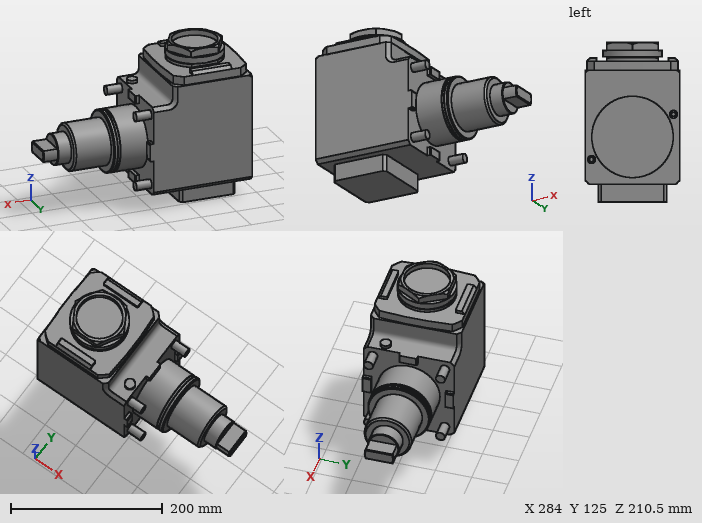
import cadquery as cq
import math


block_half_x = 56.0
block_half_y = 62.5
block_bottom = -62.5
block_top = 88.0
flange_top = 62.5
flange_face = 85.0
step_radius = 7.5
edge_chamfer = 5.5
corner_turn_radius = 80.7
corner_turn_width = 8.5

key_width = 25.0
key_length = 11.5
key_height = 5.5
key_chamfer = 1.5

collar_radius = 42.5
groove_radius = 41.2
groove_start = 123.8
groove_end = 127.5
collar_end = 133.2
collar_chamfer = 1.5
barrel_radius = 32.5
barrel_end = 185.5
barrel_chamfer = 2.5
journal_radius = 21.3
journal_end = 204.5
journal_chamfer = 0.9
tang_end = 225.2
tang_radius = 20.2
tang_thickness = 16.0
tang_chamfer = 1.0

pin_radius = 6.2
pin_offset = 49.5
pin_end = 106.5
plug_x = 74.7
plug_y = -35.0
plug_radius = 7.0
plug_height = 4.3

cover_radius = 53.7
cover_height = 2.8
screw_y = 54.0
screw_z = 29.8
screw_radius = 5.0
screw_recess = 0.3
socket_size = 6.2
socket_depth = 0.5

plate_top = 100.0
plate_half_y = 60.2
plate_half_x = 54.5
plate_side_x = 52.3
plate_flat_half_y = 14.8
plate_corner_radius = 72.5
pad_length = 55.7
pad_width = 13.0
pad_height = 4.3
pad_bevel_width = 4.5
pad_fillet = 1.7

foot_x = 79.8
foot_y = 90.3
foot_chamfer = 4.0
foot_bottom = -85.8

neck_radius = 39.0
neck_flats = 68.2
neck_top = 104.2
neck_groove_height = 1.0
neck_groove_radius = 31.2
nut_flange_radius = 39.2
nut_flange_height = 8.8
nut_top = 124.7
hex_flats = 68.2
hex_bevel_radius = 35.0
hex_bevel_angle = 30.0
nut_bore_radius = 30.7
nut_bore_depth = 7.7


def cylinder_x(radius, start, end, y=0, z=0):
    return cq.Workplane("YZ", origin=(start, y, z)).circle(radius).extrude(end - start)


def cylinder_z(radius, start, end, x=0, y=0):
    return cq.Workplane("XY", origin=(x, y, start)).circle(radius).extrude(end - start)


def box_on(z, size_x, size_y, height):
    return cq.Workplane("XY", origin=(0, 0, z)).rect(size_x, size_y).extrude(height)


def make_block():
    """Stepped block with bevelled step and bottom edges, and turned upper corners."""
    block = (
        cq.Workplane("XZ", origin=(0, block_half_y, 0))
        .moveTo(-block_half_x, block_bottom)
        .lineTo(flange_face, block_bottom)
        .lineTo(flange_face, flange_top)
        .lineTo(block_half_x + step_radius, flange_top)
        .radiusArc((block_half_x, flange_top + step_radius), step_radius)
        .lineTo(block_half_x, block_top)
        .lineTo(-block_half_x, block_top)
        .close()
        .extrude(2 * block_half_y)
    )
    block = block.faces("<Z").edges("|X").chamfer(edge_chamfer)

    step_middle = ((block_half_x + flange_face) / 2, 0, flange_top)
    step_edges = block.faces(cq.selectors.NearestToPointSelector(step_middle)).edges("|X")
    block = step_edges.chamfer(edge_chamfer)

    ring_outer = corner_turn_radius + corner_turn_width
    turned_ring = (
        cq.Workplane("XZ")
        .moveTo(corner_turn_radius, block_top)
        .lineTo(ring_outer, block_top)
        .lineTo(ring_outer, block_top - corner_turn_width)
        .close()
        .revolve(360, (0, 0, 0), (0, 1, 0))
    )
    return block.cut(turned_ring)


def make_key(turn):
    """Locating key at the middle of one side of the mounting face, turned about X."""
    key = (
        cq.Workplane("YZ", origin=(flange_face, 0, block_half_y - key_length / 2))
        .rect(key_width, key_length)
        .extrude(key_height)
    )
    key = key.faces(">X").edges("|Z").chamfer(key_chamfer)
    return key.rotate((0, 0, 0), (1, 0, 0), turn)


def make_shank():
    """Collar with ring groove, barrel and journal turned about X."""
    shank = cylinder_x(collar_radius, flange_face, groove_start)
    shank = shank.union(cylinder_x(groove_radius, groove_start, groove_end))
    rim = cylinder_x(collar_radius, groove_end, collar_end).faces(">X").chamfer(collar_chamfer)
    barrel = cylinder_x(barrel_radius, collar_end, barrel_end).faces(">X").chamfer(barrel_chamfer)
    journal = cylinder_x(journal_radius, barrel_end, journal_end).faces(">X").chamfer(journal_chamfer)
    return shank.union(rim).union(barrel).union(journal)


def make_tang():
    """Drive tang: a round end milled to two flats."""
    length = tang_end - journal_end
    round_end = cylinder_x(tang_radius, journal_end, tang_end)
    flats = (
        cq.Workplane("YZ", origin=(journal_end, 0, 0))
        .rect(2 * tang_radius, tang_thickness)
        .extrude(length)
    )
    return round_end.intersect(flats).faces(">X").chamfer(tang_chamfer)


def make_plate():
    """Top plate with slightly peaked sides and round corners."""
    side_y = math.sqrt(plate_corner_radius**2 - plate_side_x**2)
    end_x = math.sqrt(plate_corner_radius**2 - plate_half_y**2)
    return (
        cq.Workplane("XY", origin=(0, 0, block_top))
        .moveTo(-end_x, -plate_half_y)
        .lineTo(end_x, -plate_half_y)
        .radiusArc((plate_side_x, -side_y), -plate_corner_radius)
        .lineTo(plate_half_x, -plate_flat_half_y)
        .lineTo(plate_half_x, plate_flat_half_y)
        .lineTo(plate_side_x, side_y)
        .radiusArc((end_x, plate_half_y), -plate_corner_radius)
        .lineTo(-end_x, plate_half_y)
        .radiusArc((-plate_side_x, side_y), -plate_corner_radius)
        .lineTo(-plate_half_x, plate_flat_half_y)
        .lineTo(-plate_half_x, -plate_flat_half_y)
        .lineTo(-plate_side_x, -side_y)
        .radiusArc((-end_x, -plate_half_y), -plate_corner_radius)
        .close()
        .extrude(plate_top - block_top)
    )


def make_pad(side):
    """Pad along one long edge of the plate, bevelled outward; side is -1 or 1 along Y."""
    outer_y = side * plate_half_y
    inner_y = side * (plate_half_y - pad_width)
    bevel_y = side * (plate_half_y - pad_bevel_width)
    pad_top = plate_top + pad_height
    pad = (
        cq.Workplane("YZ", origin=(-pad_length / 2, 0, 0))
        .moveTo(outer_y, plate_top)
        .lineTo(bevel_y, pad_top)
        .lineTo(inner_y, pad_top)
        .lineTo(inner_y, plate_top)
        .close()
        .extrude(pad_length)
    )
    return pad.edges("|Z").fillet(pad_fillet)


def make_foot():
    """Rectangular foot under the block with bevelled corners."""
    foot = box_on(foot_bottom, foot_x, foot_y, block_bottom - foot_bottom)
    return foot.edges("|Z").chamfer(foot_chamfer)


def make_neck():
    """Round spindle neck seated in the plate, with two wrench flats above it."""
    seat = cylinder_z(neck_radius, block_top, plate_top)
    neck = cylinder_z(neck_radius, plate_top, neck_top)
    flats = box_on(plate_top, 2 * neck_radius, neck_flats, neck_top - plate_top)
    return seat.union(neck.intersect(flats))


def make_screw_recess(side):
    """Sunk screw head with a hexagon socket in the -X face."""
    head_face = -block_half_x + screw_recess
    y = side * screw_y
    z = -side * screw_z
    recess = cylinder_x(screw_radius, -block_half_x, head_face, y, z)
    socket = cq.Workplane("YZ", origin=(head_face, y, z)).polygon(6, socket_size).extrude(socket_depth)
    return recess.union(socket)


def make_housing():
    """Housing with all fixed details, bored for the spindle."""
    housing = make_block()
    for turn in (0, 90, 180, 270):
        housing = housing.union(make_key(turn))
    housing = housing.union(make_shank())
    housing = housing.union(make_tang())
    housing = housing.union(make_plate())
    housing = housing.union(make_foot())
    housing = housing.union(cylinder_x(cover_radius, -block_half_x - cover_height, -block_half_x))
    housing = housing.union(cylinder_z(plug_radius, flange_top, flange_top + plug_height, plug_x, plug_y))
    housing = housing.cut(cylinder_z(neck_radius, block_top, plate_top))
    for side in (-1, 1):
        housing = housing.union(make_pad(side))
        housing = housing.cut(make_screw_recess(side))
        for level in (-1, 1):
            pin = cylinder_x(pin_radius, flange_face, pin_end, side * pin_offset, level * pin_offset)
            housing = housing.union(pin)
    return housing


def make_spindle():
    """Spindle: neck, groove, and nut head with round flange, bevelled hexagon and blind bore."""
    flange_bottom = neck_top + neck_groove_height
    hex_bottom = flange_bottom + nut_flange_height
    hex_height = nut_top - hex_bottom
    hex_corners = hex_flats / math.cos(math.pi / 6)

    groove = cylinder_z(neck_groove_radius, neck_top, flange_bottom)
    flange = cylinder_z(nut_flange_radius, flange_bottom, hex_bottom)
    hexagon = cq.Workplane("XY", origin=(0, 0, hex_bottom)).polygon(6, hex_corners).extrude(hex_height)

    bevel_width = nut_flange_radius - hex_bevel_radius
    bevel_height = bevel_width * math.tan(math.radians(hex_bevel_angle))
    bevelled_blank = (
        cylinder_z(nut_flange_radius, hex_bottom, nut_top)
        .faces(">Z")
        .edges()
        .chamfer(bevel_height, bevel_width)
    )
    hexagon = hexagon.intersect(bevelled_blank)

    bore = cylinder_z(nut_bore_radius, nut_top - nut_bore_depth, nut_top)
    return make_neck().union(groove).union(flange).union(hexagon).cut(bore)


housing = make_housing()
spindle = make_spindle()

result = cq.Compound.makeCompound([housing.val(), spindle.val()])